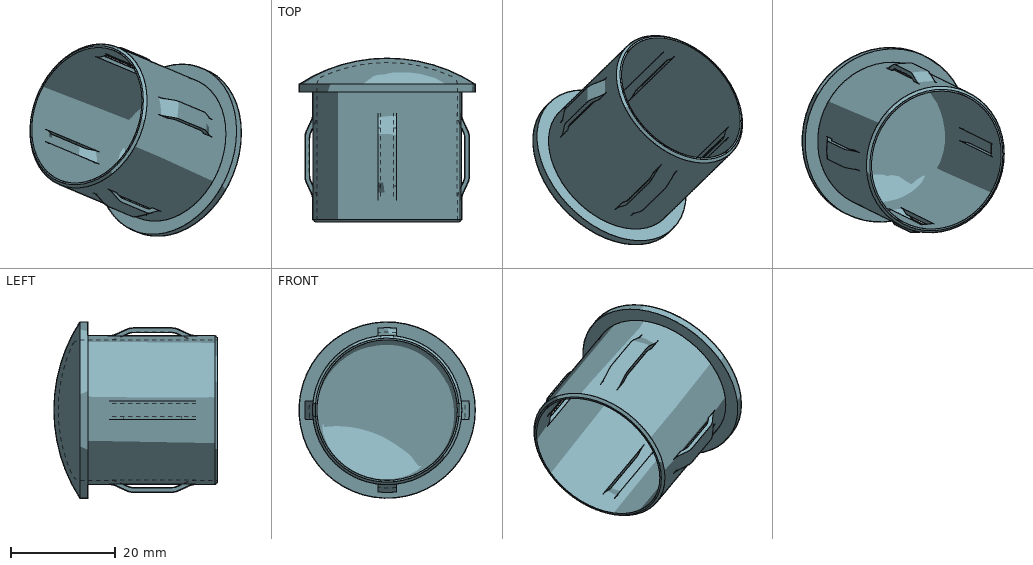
import cadquery as cq
import math


total_length = 31.3
cap_radius = 16.85
dome_height = 5.0
rim_thickness = 1.5
tube_radius = 14.25
wall = 0.85
lead_in_chamfer = 0.5
inner_fillet_radius = 1.7

clip_width = 3.55
slot_width = 2.5
clip_start = 4.2
clip_length = 16.48
clip_rise = 1.48
clip_slope = 25.0
bend_run = 1.35
clip_count = 4

bore_radius = tube_radius - wall
dome_base = total_length - dome_height
rim_base = dome_base - rim_thickness
dome_radius = (cap_radius**2 + dome_height**2) / (2 * dome_height)
dome_center = total_length - dome_radius
inner_dome_radius = dome_radius - wall
crest_radius = tube_radius + clip_rise


def point_on_circle(center, radius, angle_from_y):
    """Point (r, y) on a circle, with the angle in radians measured from +Y towards +r."""
    return (center[0] + radius * math.sin(angle_from_y), center[1] + radius * math.cos(angle_from_y))


def revolve_about_y(profile):
    return profile.close().revolve(360, (0, 0, 0), (0, 1, 0))


def make_cap():
    """Tube, rim and hollow dome as one revolved half section."""
    dome_axis_point = (0, dome_center)
    outer_edge_angle = math.asin(cap_radius / dome_radius)

    fillet_x = bore_radius - inner_fillet_radius
    center_distance = inner_dome_radius - inner_fillet_radius
    fillet_angle = math.asin(fillet_x / center_distance)
    fillet_center = point_on_circle(dome_axis_point, center_distance, fillet_angle)
    fillet_middle_angle = (fillet_angle + math.pi / 2) / 2

    profile = (
        cq.Workplane("XY")
        .moveTo(bore_radius, 0)
        .lineTo(tube_radius - lead_in_chamfer, 0)
        .lineTo(tube_radius, lead_in_chamfer)
        .lineTo(tube_radius, rim_base)
        .lineTo(cap_radius, rim_base)
        .lineTo(cap_radius, dome_base)
        .threePointArc(
            point_on_circle(dome_axis_point, dome_radius, outer_edge_angle / 2),
            (0, total_length),
        )
        .lineTo(0, total_length - wall)
        .threePointArc(
            point_on_circle(dome_axis_point, inner_dome_radius, fillet_angle / 2),
            point_on_circle(dome_axis_point, inner_dome_radius, fillet_angle),
        )
        .threePointArc(
            point_on_circle(fillet_center, inner_fillet_radius, fillet_middle_angle),
            (bore_radius, fillet_center[1]),
        )
    )
    return revolve_about_y(profile)


def make_clip_ring():
    """Full ring with the section of a clip: the wall bent outwards between two feet."""
    slope = math.radians(clip_slope)
    bend_radius = bend_run / math.sin(slope)
    leg_run = (clip_rise - 2 * bend_radius * (1 - math.cos(slope))) / math.tan(slope)
    clip_end = clip_start + clip_length
    crest_start = clip_start + 2 * bend_run + leg_run
    crest_end = clip_end - 2 * bend_run - leg_run

    foot_center_r = tube_radius + bend_radius
    crest_center_r = crest_radius - bend_radius

    def trace(profile, depth):
        """Add one face of the clip, from the lower foot to the upper one, at a depth below the outside."""
        foot_radius = bend_radius + depth
        crest_bend_radius = bend_radius - depth

        def foot_point(center_y, angle, side):
            """Point on a foot bend; the angle is off the radial direction, side +1 is towards +Y."""
            return (
                foot_center_r - foot_radius * math.cos(angle),
                center_y + side * foot_radius * math.sin(angle),
            )

        def crest_point(center_y, angle, side):
            """Point on a crest bend, with the angle and side as for a foot."""
            return (
                crest_center_r + crest_bend_radius * math.cos(angle),
                center_y + side * crest_bend_radius * math.sin(angle),
            )

        return (
            profile
            .threePointArc(foot_point(clip_start, slope / 2, 1), foot_point(clip_start, slope, 1))
            .lineTo(*crest_point(crest_start, slope, -1))
            .threePointArc(crest_point(crest_start, slope / 2, -1), crest_point(crest_start, 0, -1))
            .lineTo(*crest_point(crest_end, 0, 1))
            .threePointArc(crest_point(crest_end, slope / 2, 1), crest_point(crest_end, slope, 1))
            .lineTo(*foot_point(clip_end, slope, -1))
            .threePointArc(foot_point(clip_end, slope / 2, -1), foot_point(clip_end, 0, -1))
        )

    outside = trace(cq.Workplane("XY").moveTo(tube_radius, clip_start), 0)
    inside = trace(cq.Workplane("XY").moveTo(bore_radius, clip_start), wall)
    outer_body = revolve_about_y(outside.lineTo(0, clip_end).lineTo(0, clip_start))
    inner_body = revolve_about_y(inside.lineTo(0, clip_end).lineTo(0, clip_start))
    return outer_body.cut(inner_body)


def make_radial_blocks(width):
    """Blocks reaching outwards from the axis, one for each clip and as long as a clip."""
    block = cq.Workplane("XY").box(cap_radius, clip_length, width, centered=(False, False, True))
    block = block.translate((0, clip_start, 0))
    blocks = block
    for index in range(1, clip_count):
        turned = block.rotate((0, 0, 0), (0, 1, 0), index * 360 / clip_count)
        blocks = blocks.union(turned)
    return blocks


clips = make_clip_ring().intersect(make_radial_blocks(clip_width))
slots = make_radial_blocks(slot_width)
result = make_cap().cut(slots).union(clips).solids()